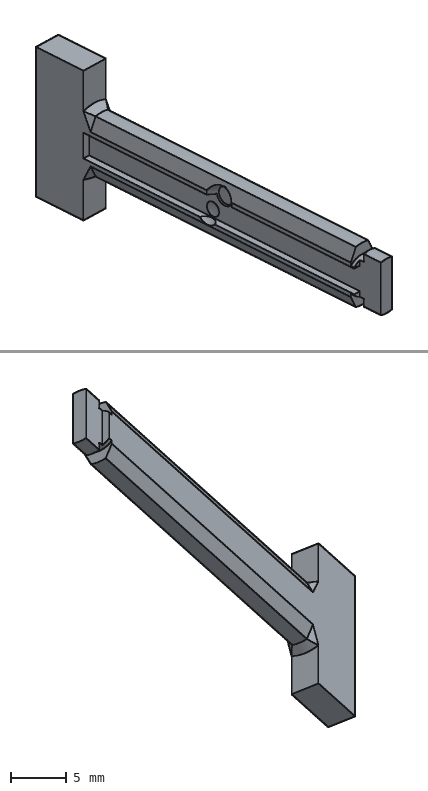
import cadquery as cq

length = 42.55
thickness = 2.95
head_length = 5.95
head_height = 15.9

flare_end = 6.85
shaft_end = 39.5
neck_step = 39.95
tip_start = 40.4
flare_radius = 3.9
shaft_diameter = 6.6
shaft_radius = shaft_diameter / 2
neck_radius = 2.1
tip_radius = 2.9

land_half_height = 1.85
cap_half_width = 0.8
half_thickness = thickness / 2
cap_edge_height = (shaft_radius**2 - cap_half_width**2) ** 0.5
flare_edge_height = (flare_radius**2 - half_thickness**2) ** 0.5

blade_thickness = 1.45
groove_height = 2.72
groove_depth = (thickness - blade_thickness) / 2

pocket_x = 23.0
pocket_z = 1.55
pocket_mouth_radius = 1.58
pocket_floor_radius = 0.9
pocket_depth = 0.9
dimple_x = 21.5
dimple_z = -0.45
dimple_radius = 1.35
dimple_depth = 1.0

front_y = -half_thickness


def block(x_start, x_end, width, height):
    """Box centred on the X axis between two stations."""
    return cq.Workplane("XY").box(x_end - x_start, width, height).translate(((x_start + x_end) / 2, 0, 0))


def turned(*stations):
    """Solid of revolution about X through (x, radius) stations."""
    outline = [(stations[0][0], 0), *stations, (stations[-1][0], 0)]
    return cq.Workplane("XY").polyline(outline).close().revolve(360, (0, 0, 0), (1, 0, 0))


def mirrored(solid, side_y, side_z):
    """Reflect a solid into the quadrant given by the two signs."""
    if side_y < 0:
        solid = solid.mirror("XZ")
    if side_z < 0:
        solid = solid.mirror("XY")
    return solid


def make_shaft():
    """Round bar cut to the slab thickness, with four long slanted flats."""
    bar = turned((flare_end, shaft_radius), (shaft_end, shaft_radius))
    section = []
    for side_y, side_z in ((1, 1), (-1, 1), (-1, -1), (1, -1)):
        land_corner = (side_y * half_thickness, side_z * land_half_height)
        cap_corner = (side_y * cap_half_width, side_z * cap_edge_height)
        top_corner = (side_y * cap_half_width, side_z * shaft_radius)
        corner = [land_corner, cap_corner, top_corner]
        section += corner if side_y * side_z > 0 else corner[::-1]
    envelope = (
        cq.Workplane("YZ").workplane(offset=flare_end)
        .polyline(section).close().extrude(shaft_end - flare_end)
    )
    return bar.intersect(envelope)


def make_flare():
    """Conical root of the shaft, with a slanted facet at each corner."""
    flare = turned((head_length, flare_radius), (flare_end, shaft_radius))
    flare = flare.intersect(block(head_length, flare_end, thickness, head_height))
    root = cq.Vector(head_length, half_thickness, flare_edge_height)
    land_edge = cq.Vector(flare_end, half_thickness, land_half_height)
    cap_edge = cq.Vector(flare_end, cap_half_width, cap_edge_height)
    outward = (cap_edge - root).cross(land_edge - root)
    facet_plane = cq.Plane(origin=root, xDir=land_edge - root, normal=outward)
    waste = cq.Workplane(facet_plane).rect(head_height, head_height).extrude(thickness)
    for side_y in (1, -1):
        for side_z in (1, -1):
            flare = flare.cut(mirrored(waste, side_y, side_z))
    return flare


def make_tip():
    """Short neck of full thickness, then a thin blade with a wider end."""
    neck = turned((shaft_end, neck_radius), (neck_step, neck_radius))
    neck = neck.intersect(block(shaft_end, neck_step, thickness, head_height))
    blade = turned(
        (shaft_end, neck_radius), (tip_start, neck_radius), (tip_start, tip_radius), (length, tip_radius)
    )
    blade = blade.intersect(block(shaft_end, length, blade_thickness, head_height))
    return neck.union(blade)


def make_groove():
    groove = block(head_length, length, groove_depth, groove_height)
    return groove.translate((0, front_y + groove_depth / 2, 0))


def make_pocket():
    return cq.Workplane(
        cq.Solid.makeCone(
            pocket_mouth_radius,
            pocket_floor_radius,
            pocket_depth,
            cq.Vector(pocket_x, front_y, pocket_z),
            cq.Vector(0, 1, 0),
        )
    )


def make_dimple():
    center_y = front_y + dimple_depth - dimple_radius
    return cq.Workplane("XY").sphere(dimple_radius).translate((dimple_x, center_y, dimple_z))


head = block(0, head_length, thickness, head_height)
body = head.union(make_flare()).union(make_shaft()).union(make_tip())
result = body.cut(make_groove()).cut(make_pocket()).cut(make_dimple())